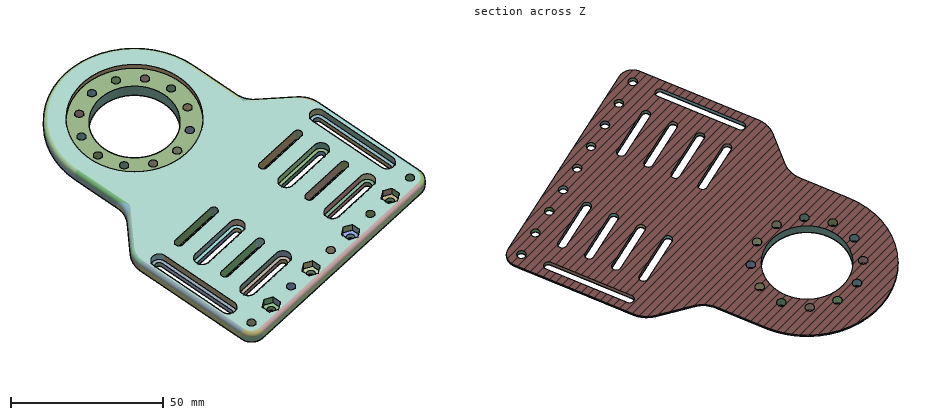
import cadquery as cq
import math

LENGTH = 120.0
BODY_WIDTH = 90.0
HEAD_RADIUS = 30.0
BODY_END_X = LENGTH - HEAD_RADIUS
SHOULDER_X = 37.1
PLATE_THICKNESS = 5.0
EDGE_ROUND = 1.5
SHOULDER_RADIUS = 10.0
NECK_RADIUS = 10.0
END_CORNER_RADIUS = 5.0

NECK_X = SHOULDER_X - (BODY_WIDTH / 2 - HEAD_RADIUS)

TOTAL_HEIGHT = 7.0
BOSS_HEIGHT = TOTAL_HEIGHT - PLATE_THICKNESS
SEAT_DIAMETER = 45.0
SEAT_DEPTH = 2.0
BORE_DIAMETER = 30.0
BOLT_CIRCLE_DIAMETER = 37.0
BOLT_COUNT = 12

SCREW_DIAMETER = 3.0
NUT_FLATS = 5.5
NUT_RECESS_DEPTH = 3.0

HOLE_COUNT = 9
HOLE_PITCH = BODY_WIDTH / HOLE_COUNT
HOLE_ROW_X = BODY_END_X - END_CORNER_RADIUS
OUTER_HOLE_Y = (HOLE_COUNT - 1) / 2 * HOLE_PITCH

FIRST_SLOT_X = 45.0
CROSS_SLOT_COUNT = 4
CROSS_SLOT_INNER_Y = 12.5
CROSS_SLOT_OUTER_Y = 30.0
SIDE_SLOT_TRAVEL = (CROSS_SLOT_COUNT - 1) * HOLE_PITCH


def make_plate():
    half_width = BODY_WIDTH / 2
    plate = (
        cq.Workplane("XY")
        .moveTo(0, HEAD_RADIUS)
        .lineTo(NECK_X, HEAD_RADIUS)
        .lineTo(SHOULDER_X, half_width)
        .lineTo(BODY_END_X, half_width)
        .lineTo(BODY_END_X, -half_width)
        .lineTo(SHOULDER_X, -half_width)
        .lineTo(NECK_X, -HEAD_RADIUS)
        .lineTo(0, -HEAD_RADIUS)
        .threePointArc((-HEAD_RADIUS, 0), (0, HEAD_RADIUS))
        .close()
        .extrude(PLATE_THICKNESS)
    )
    plate = plate.edges("|Z and >X").fillet(END_CORNER_RADIUS)
    for side in (1, -1):
        shoulder = cq.selectors.NearestToPointSelector((SHOULDER_X, side * half_width, PLATE_THICKNESS / 2))
        plate = plate.edges("|Z").edges(shoulder).fillet(SHOULDER_RADIUS)
    plate = plate.faces("<Z or >Z").edges().fillet(EDGE_ROUND)
    for side in (1, -1):
        neck = cq.selectors.NearestToPointSelector((NECK_X, side * HEAD_RADIUS, PLATE_THICKNESS / 2))
        plate = plate.edges("|Z").edges(neck).fillet(NECK_RADIUS)
    return plate


def make_boss():
    bottom_radius = SEAT_DIAMETER / 2
    return (
        cq.Workplane("XZ")
        .moveTo(0, 0)
        .lineTo(bottom_radius + BOSS_HEIGHT, 0)
        .lineTo(bottom_radius, -BOSS_HEIGHT)
        .lineTo(0, -BOSS_HEIGHT)
        .close()
        .revolve(360, (0, 0, 0), (0, 1, 0))
    )


def top_plane(depth):
    return cq.Workplane("XY").workplane(offset=PLATE_THICKNESS - depth)


def cut_head(body):
    seat = top_plane(SEAT_DEPTH).circle(SEAT_DIAMETER / 2).extrude(SEAT_DEPTH)
    bore = top_plane(TOTAL_HEIGHT).circle(BORE_DIAMETER / 2).extrude(TOTAL_HEIGHT)
    bolts = (
        top_plane(TOTAL_HEIGHT)
        .polarArray(BOLT_CIRCLE_DIAMETER / 2, 0, 360, BOLT_COUNT)
        .circle(SCREW_DIAMETER / 2)
        .extrude(TOTAL_HEIGHT)
    )
    return body.cut(seat).cut(bore).cut(bolts)


def cut_slot(body, center, travel, angle, has_nut_track):
    """Cut a through slot; travel is the distance between its end centres."""
    cuts = [(SCREW_DIAMETER, PLATE_THICKNESS)]
    if has_nut_track:
        cuts.append((NUT_FLATS, NUT_RECESS_DEPTH))
    for width, depth in cuts:
        slot = top_plane(depth).center(*center).slot2D(travel + width, width, angle).extrude(depth)
        body = body.cut(slot)
    return body


def cut_slots(body):
    cross_y = (CROSS_SLOT_INNER_Y + CROSS_SLOT_OUTER_Y) / 2
    cross_travel = CROSS_SLOT_OUTER_Y - CROSS_SLOT_INNER_Y
    for side in (1, -1):
        for index in range(CROSS_SLOT_COUNT):
            center = (FIRST_SLOT_X + index * HOLE_PITCH, side * cross_y)
            body = cut_slot(body, center, cross_travel, 90, has_nut_track=index % 2 == 1)
        center = (FIRST_SLOT_X + SIDE_SLOT_TRAVEL / 2, side * OUTER_HOLE_Y)
        body = cut_slot(body, center, SIDE_SLOT_TRAVEL, 0, has_nut_track=True)
    return body


def cut_end_holes(body):
    nut_corners = NUT_FLATS / math.cos(math.pi / 6)
    for index in range(HOLE_COUNT):
        y = index * HOLE_PITCH - OUTER_HOLE_Y
        hole = top_plane(PLATE_THICKNESS).center(HOLE_ROW_X, y).circle(SCREW_DIAMETER / 2)
        body = body.cut(hole.extrude(PLATE_THICKNESS))
        if index % 2 == 1:
            recess = top_plane(NUT_RECESS_DEPTH).center(HOLE_ROW_X, y).polygon(6, nut_corners)
            body = body.cut(recess.extrude(NUT_RECESS_DEPTH))
    return body


result = make_plate().union(make_boss())
result = cut_head(result)
result = cut_slots(result)
result = cut_end_holes(result)